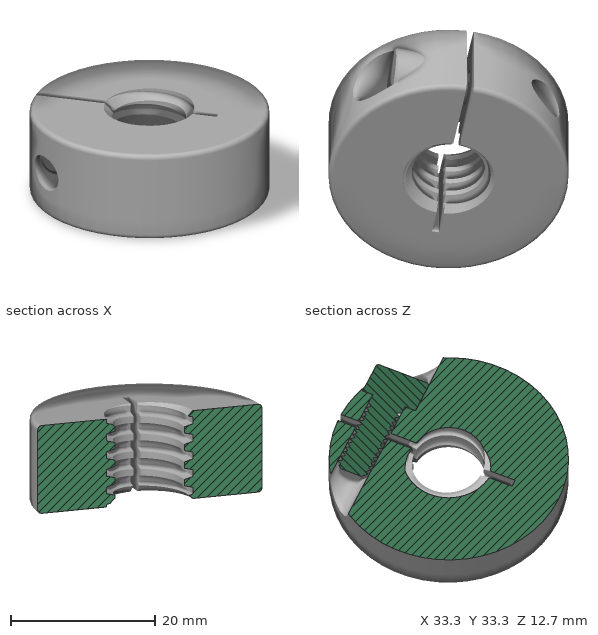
import cadquery as cq
import math

collar_diameter = 33.27
collar_height = 12.7
rim_fillet = 0.65
slit_width = 1.0
slit_end_x = 9.8

bore_major_radius = 6.35
bore_thread_depth = 1.25
bore_pitch = 2.53
bore_minor_radius = bore_major_radius - bore_thread_depth
bore_flank_angle = 14.5
bore_root_width = 0.93
bore_groove_z = 5.55

screw_x = -11.48
head_radius = 4.0
head_height = 4.82
head_top_y = 10.18
head_chamfer = 0.23
head_seat_y = head_top_y - head_height
shank_radius = 2.412
shank_length = 12.98
tip_y = head_seat_y - shank_length
tip_radius = 1.6
tip_chamfer = shank_radius - tip_radius

screw_pitch = 0.8
screw_thread_depth = 0.45
screw_flank_angle = 30.0
screw_crest_width = screw_pitch / 8
screw_groove_opening = screw_pitch - screw_crest_width
screw_root_width = screw_groove_opening - 2 * screw_thread_depth * math.tan(math.radians(screw_flank_angle))
screw_crest_y = 0.23
screw_groove_y = screw_crest_y + screw_pitch / 2

groove_overrun = 0.03


def groove_turn(pitch, start_z, root_radius, root_width, mouth_radius, flank_angle):
    """One right-hand turn of a trapezoidal groove around Z, its centre rising from start_z on the +X side."""
    half_root = root_width / 2
    half_mouth = half_root + abs(mouth_radius - root_radius) * math.tan(math.radians(flank_angle))
    corners = [
        (root_radius, -half_root),
        (mouth_radius, -half_mouth),
        (mouth_radius, half_mouth),
        (root_radius, half_root),
    ]

    helices = [
        cq.Wire.makeHelix(pitch, pitch, radius).translate(cq.Vector(0, 0, start_z + offset))
        for radius, offset in corners
    ]
    faces = []
    for helix, next_helix in zip(helices, helices[1:] + helices[:1]):
        faces.extend(cq.Face.makeRuledSurface(helix, next_helix).Faces())

    for end_z in (start_z, start_z + pitch):
        outline = [cq.Vector(radius, 0, end_z + offset) for radius, offset in corners]
        faces.append(cq.Face.makeFromWires(cq.Wire.makePolygon(outline, close=True)))
    return cq.Solid.makeSolid(cq.Shell.makeShell(faces))


def cut_bore_thread(collar):
    """Acme groove that runs out through both faces of the collar."""
    turns = math.ceil(collar_height / bore_pitch) + 2
    for turn in range(turns):
        collar = collar.cut(cq.Workplane(groove_turn(
            bore_pitch, bore_groove_z - turn * bore_pitch,
            bore_major_radius, bore_root_width,
            bore_minor_radius - groove_overrun, bore_flank_angle,
        )))
    return collar


def cut_screw_thread(shank):
    """V groove from beyond the tip to about one pitch short of the head."""
    turns_to_tip = math.ceil((screw_groove_y - tip_y) / screw_pitch) + 1
    turns_to_head = math.floor((head_seat_y - screw_groove_y) / screw_pitch) - 1
    for turn in range(-turns_to_tip, turns_to_head):
        shank = shank.cut(cq.Workplane(groove_turn(
            screw_pitch, screw_groove_y + turn * screw_pitch,
            shank_radius - screw_thread_depth, screw_root_width,
            shank_radius + groove_overrun, screw_flank_angle,
        )))
    return shank


def along_screw(shape):
    """Turn a shape built along +Z so that it lies along +Y on the screw axis."""
    return shape.rotate((0, 0, 0), (1, 0, 0), -90).translate((screw_x, 0, 0))


def rod(radius, start, end):
    """Cylinder around Z between two heights."""
    return cq.Workplane("XY").workplane(offset=start).circle(radius).extrude(end - start)


def bore_cutter():
    """Minor-diameter bore with a 45-degree countersink at both ends."""
    half_height = collar_height / 2
    countersink_end = half_height - bore_thread_depth
    return (
        cq.Workplane("XZ")
        .polyline([
            (0, -half_height),
            (bore_major_radius, -half_height),
            (bore_minor_radius, -countersink_end),
            (bore_minor_radius, countersink_end),
            (bore_major_radius, half_height),
            (0, half_height),
        ])
        .close()
        .revolve(360, (0, 0, 0), (0, 1, 0))
    )


def slit_cutter():
    """Saw cut through the full height, from beyond the -X side to slit_end_x."""
    length = collar_diameter / 2 + slit_end_x
    return cq.Workplane("XY").box(length, slit_width, collar_height).translate((slit_end_x - length / 2, 0, 0))


def make_collar():
    radius = collar_diameter / 2
    collar = rod(radius, -collar_height / 2, collar_height / 2)
    collar = collar.edges("%CIRCLE").fillet(rim_fillet)
    collar = cut_bore_thread(collar.cut(bore_cutter()))
    collar = collar.cut(along_screw(rod(shank_radius, -radius, head_seat_y)))
    collar = collar.cut(along_screw(rod(head_radius, head_seat_y, radius)))
    return collar.cut(slit_cutter())


def make_screw():
    shank = rod(shank_radius, tip_y, head_seat_y).faces("<Z").chamfer(tip_chamfer)
    shank = cut_screw_thread(shank)
    head = rod(head_radius, head_seat_y, head_top_y).faces(">Z").chamfer(head_chamfer)
    return along_screw(head.union(shank))


collar = make_collar()
screw = make_screw()

result = cq.Compound.makeCompound([collar.val(), screw.val()])